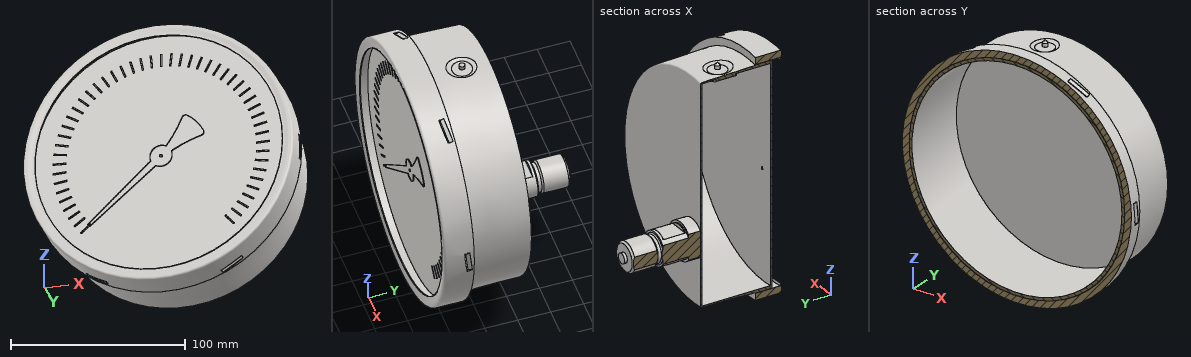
import cadquery as cq
import math


bezel_radius = 80.5
bezel_depth = 18.0
bezel_edge_radius = 1.6
lip_radius = 77.6
lip_slope_radius = 74.7
lip_bore_radius = 147.0 / 2
lip_front_depth = 0.8
lip_back_depth = 1.5
lip_blend_radius = 1.6

recess_count = 6
recess_first_angle = 30.0
recess_length = 14.3
recess_width = 3.4
recess_slant = 6.0
recess_depth = 1.5
recess_back_depth = 0.3
recess_front_slope = 1.1
recess_center_depth = 14.5

dial_front_depth = 6.6
dial_thickness = 1.3

case_wall = 1.2
case_front_radius = 75.5
case_back_radius = 74.7
case_rim_depth = dial_front_depth + dial_thickness
case_back_depth = 55.0

plug_depth = 38.0
plug_radius = 6.04
plug_bottom = 71.6
plug_shoulder = 73.5
plug_crown = 74.4
funnel_radius = 9.8
funnel_top = 75.5
boss_radius = 11.3
nipple_radius = 1.69
nipple_tip = 78.4

tick_step = 5.51
first_tick = -24
last_tick = 25
tick_inner_radius = 56.7
tick_outer_radius = 64.2
tick_width = 0.8
tick_engraving = 0.2

pointer_angle = first_tick * tick_step
pointer_thickness = 0.5
hub_radius = 6.6
axle_radius = 1.56 / 2
needle_tip_radius = 58.0
needle_tip_width = 1.8
needle_root_width = 4.8
tail_radius = 28.5
tail_root_width = 4.8
tail_end_width = 19.2
tail_mid_width = 10.5
tail_corner_radius = 2.1

stem_height = -31.7
stem_collar_radius = 25.0 / 2
stem_collar_end = 63.1
stem_body_radius = 22.0 / 2
stem_body_end = 80.5
stem_neck_radius = 17.9 / 2
stem_neck_flare = 0.8
stem_neck_end = 83.4
stem_thread_radius = 10.0
stem_thread_end = 100.8
stem_thread_chamfer = 1.3
stem_tip_radius = 3.3
stem_end = 102.7
flat_start = 63.9
flat_end = 78.5
flat_distance = 8.61


def revolve_about_y(profile):
    """Revolve a profile of (radius, depth) points, drawn in the XY plane, about the Y axis."""
    return profile.close().revolve(360, (0, 0, 0), (0, 1, 0))


def cylinder_along_y(radius, start, end):
    return cq.Workplane("XZ", origin=(0, start, 0)).circle(radius).extrude(start - end)


def turn_clockwise(shape, angle):
    """Turn a shape about the gauge axis, clockwise as seen from the front."""
    return shape.rotate((0, 0, 0), (0, 1, 0), angle)


def bayonet_recess():
    """V-shaped pocket tool on the top of the bezel, slanted toward the back on the +X side."""
    half_width = recess_width / 2
    return (
        cq.Workplane("YZ")
        .moveTo(-half_width, bezel_radius)
        .lineTo(recess_front_slope - half_width, bezel_radius - recess_depth)
        .lineTo(half_width, bezel_radius - recess_back_depth)
        .lineTo(half_width, bezel_radius + recess_depth)
        .lineTo(-half_width, bezel_radius + recess_depth)
        .close()
        .extrude(recess_length / 2, both=True)
        .rotate((0, 0, 0), (0, 0, 1), recess_slant)
        .translate((0, recess_center_depth, 0))
    )


def make_bezel():
    bezel = revolve_about_y(
        cq.Workplane("XY")
        .moveTo(lip_radius, 0)
        .lineTo(bezel_radius - bezel_edge_radius, 0)
        .radiusArc((bezel_radius, bezel_edge_radius), -bezel_edge_radius)
        .lineTo(bezel_radius, bezel_depth)
        .lineTo(case_front_radius, bezel_depth)
        .lineTo(case_front_radius, lip_back_depth)
        .lineTo(lip_bore_radius, lip_back_depth)
        .lineTo(lip_bore_radius, lip_front_depth)
        .lineTo(lip_slope_radius, lip_front_depth)
    )
    bezel = bezel.faces("%CONE").edges("%CIRCLE").fillet(lip_blend_radius)
    recess = bayonet_recess()
    for index in range(recess_count):
        angle = recess_first_angle + index * 360 / recess_count
        bezel = bezel.cut(turn_clockwise(recess, angle))
    return bezel


def make_case():
    """Tapered cup with a boss inside that carries the funnel-shaped filling hole."""
    cup_outside = revolve_about_y(
        cq.Workplane("XY")
        .moveTo(0, case_rim_depth)
        .lineTo(case_front_radius, case_rim_depth)
        .lineTo(case_front_radius, bezel_depth)
        .lineTo(case_back_radius, case_back_depth - case_wall)
        .radiusArc((case_back_radius - case_wall, case_back_depth), -case_wall)
        .lineTo(0, case_back_depth)
    )
    cavity = cylinder_along_y(case_back_radius - case_wall, case_rim_depth, case_back_depth - case_wall)
    boss = (
        cq.Workplane("XY", origin=(0, plug_depth, plug_bottom))
        .circle(boss_radius)
        .extrude(funnel_top - plug_bottom)
        .intersect(cup_outside)
    )
    funnel = (
        cq.Workplane("XZ", origin=(0, plug_depth, 0))
        .moveTo(0, plug_bottom)
        .lineTo(plug_radius, plug_bottom)
        .lineTo(plug_radius, plug_shoulder)
        .lineTo(funnel_radius, funnel_top)
        .lineTo(0, funnel_top)
        .close()
        .revolve(360, (0, 0, 0), (0, 1, 0))
    )
    return cup_outside.cut(cavity).union(boss).cut(funnel)


def make_plug():
    """Round plug with a slightly conical crown and a pointed nipple."""
    return (
        cq.Workplane("XZ", origin=(0, plug_depth, 0))
        .moveTo(0, plug_bottom)
        .lineTo(plug_radius, plug_bottom)
        .lineTo(plug_radius, plug_shoulder)
        .lineTo(nipple_radius, plug_crown)
        .lineTo(nipple_radius, nipple_tip - nipple_radius)
        .lineTo(0, nipple_tip)
        .close()
        .revolve(360, (0, 0, 0), (0, 1, 0))
    )


def make_dial():
    dial = cylinder_along_y(case_front_radius, dial_front_depth, case_rim_depth)
    tick = cq.Workplane("XY").box(
        tick_width,
        tick_engraving,
        tick_outer_radius - tick_inner_radius,
        centered=(True, False, False),
    ).translate((0, dial_front_depth, tick_inner_radius))
    for index in range(first_tick, last_tick + 1):
        dial = dial.cut(turn_clockwise(tick, index * tick_step))
    axle_hole = cylinder_along_y(axle_radius, dial_front_depth, case_rim_depth)
    return dial.cut(axle_hole)


def make_pointer():
    """Pointer drawn with its needle up, then turned to the first tick."""
    plane = cq.Workplane("XZ", origin=(0, dial_front_depth, 0))
    hub = plane.circle(hub_radius).extrude(pointer_thickness)
    needle = (
        plane.moveTo(-needle_root_width / 2, 0)
        .lineTo(-needle_tip_width / 2, needle_tip_radius)
        .lineTo(needle_tip_width / 2, needle_tip_radius)
        .lineTo(needle_root_width / 2, 0)
        .close()
        .extrude(pointer_thickness)
    )
    tail_half_width = tail_end_width / 2
    tail_corner = -math.sqrt(tail_radius**2 - tail_half_width**2)
    tail_middle = (tail_corner - hub_radius) / 2
    tail = (
        plane.moveTo(-tail_root_width / 2, 0)
        .lineTo(-tail_root_width / 2, -hub_radius)
        .threePointArc((-tail_mid_width / 2, tail_middle), (-tail_half_width, tail_corner))
        .threePointArc((0, -tail_radius), (tail_half_width, tail_corner))
        .threePointArc((tail_mid_width / 2, tail_middle), (tail_root_width / 2, -hub_radius))
        .lineTo(tail_root_width / 2, 0)
        .close()
        .extrude(pointer_thickness)
        .edges("|Y")
        .edges("<Z")
        .fillet(tail_corner_radius)
    )
    axle_hole = plane.circle(axle_radius).extrude(pointer_thickness)
    return turn_clockwise(hub.union(needle).union(tail).cut(axle_hole), pointer_angle)


def make_axle():
    front = dial_front_depth - pointer_thickness
    return cylinder_along_y(axle_radius, front, case_rim_depth)


def make_stem():
    """Turned connection with two wrench flats, standing on the back of the case."""
    stem = revolve_about_y(
        cq.Workplane("XY")
        .moveTo(0, case_back_depth)
        .lineTo(stem_collar_radius, case_back_depth)
        .lineTo(stem_collar_radius, stem_collar_end)
        .lineTo(stem_body_radius, stem_collar_end)
        .lineTo(stem_body_radius, stem_body_end)
        .lineTo(stem_neck_radius + stem_neck_flare, stem_body_end)
        .lineTo(stem_neck_radius, stem_body_end + stem_neck_flare)
        .lineTo(stem_neck_radius, stem_neck_end)
        .lineTo(stem_thread_radius, stem_neck_end + stem_thread_radius - stem_neck_radius)
        .lineTo(stem_thread_radius, stem_thread_end - stem_thread_chamfer)
        .lineTo(stem_thread_radius - stem_thread_chamfer, stem_thread_end)
        .lineTo(stem_tip_radius, stem_thread_end)
        .lineTo(stem_tip_radius, stem_end)
        .lineTo(0, stem_end)
    )
    flat_cut = cq.Workplane("XY").box(
        2 * stem_body_radius,
        flat_end - flat_start,
        stem_body_radius - flat_distance,
        centered=(True, False, False),
    ).translate((0, flat_start, flat_distance))
    for angle in (0, 180):
        stem = stem.cut(turn_clockwise(flat_cut, angle))
    return stem.translate((0, 0, stem_height))


bezel = make_bezel()
case = make_case()
plug = make_plug()
dial = make_dial()
pointer = make_pointer()
axle = make_axle()
stem = make_stem()

result = cq.Compound.makeCompound(
    [
        bezel.val(),
        case.val(),
        plug.val(),
        dial.val(),
        pointer.val(),
        axle.val(),
        stem.val(),
    ]
)